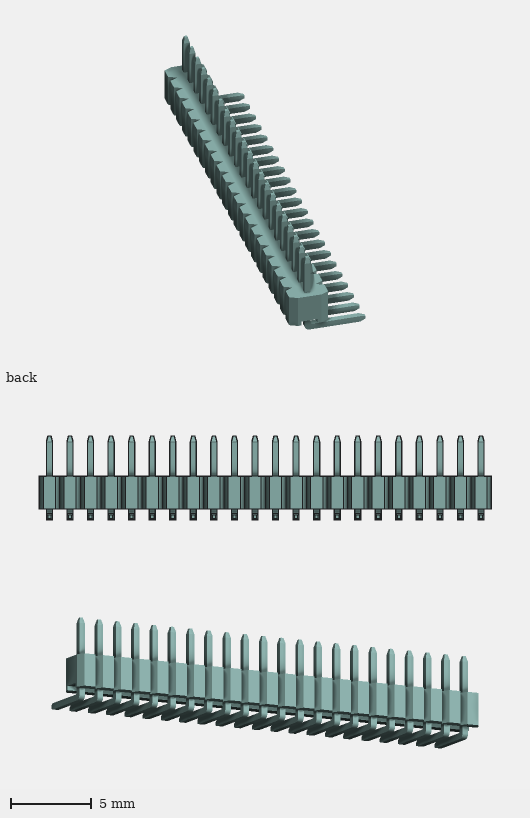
import cadquery as cq


length = 27.95
pin_count = 22
pitch = length / pin_count

total_depth = 5.0
total_height = 5.2

body_depth = 2.51
body_height = 2.05
body_bottom = 0.67
bevel_width = 0.25
bevel_depth = 0.5

channel_width = 1.03
channel_height = 0.28

pin_size = 0.4
tip_size = 0.2
tip_length = 0.35
bend_outer_radius = 0.3
bend_inner_radius = 0.1

body_front = -body_depth / 2
tail_end = body_front + total_depth


def pin_x(index):
    """X position of a pin, with the row centred on the origin."""
    return (index - (pin_count - 1) / 2) * pitch


def make_body_cell(x):
    """One pitch of the strip: a block with its four upright edges bevelled."""
    half_width = pitch / 2
    half_depth = body_depth / 2
    flat_x = half_width - bevel_width
    flat_y = half_depth - bevel_depth
    outline = [
        (-half_width, -flat_y),
        (-flat_x, -half_depth),
        (flat_x, -half_depth),
        (half_width, -flat_y),
        (half_width, flat_y),
        (flat_x, half_depth),
        (-flat_x, half_depth),
        (-half_width, flat_y),
    ]
    cell = cq.Workplane("XY").polyline(outline).close().extrude(body_height)
    return cell.translate((x, 0, body_bottom))


def make_body():
    """The full strip with the channel cut through its underside."""
    body = make_body_cell(pin_x(0))
    for index in range(1, pin_count):
        body = body.union(make_body_cell(pin_x(index)))
    channel = cq.Workplane("XY").box(
        length, channel_width, channel_height, centered=(True, True, False)
    )
    return body.cut(channel.translate((0, 0, body_bottom)))


def make_tip(base_plane):
    """A tapered square tip standing on the given plane."""
    return (
        cq.Workplane(base_plane)
        .rect(pin_size, pin_size)
        .workplane(offset=tip_length)
        .rect(tip_size, tip_size)
        .loft(ruled=True)
    )


def make_pin():
    """An L-shaped pin at X = 0: upright leg, bend, and tail towards +Y."""
    half = pin_size / 2
    leg_top = total_height - tip_length
    tail_shoulder = tail_end - tip_length
    bent_bar = (
        cq.Workplane("YZ")
        .moveTo(-half, leg_top)
        .lineTo(-half, 0)
        .lineTo(tail_shoulder, 0)
        .lineTo(tail_shoulder, pin_size)
        .lineTo(half, pin_size)
        .lineTo(half, leg_top)
        .close()
        .extrude(half, both=True)
    )
    outer_corner = cq.selectors.NearestToPointSelector((0, -half, 0))
    inner_corner = cq.selectors.NearestToPointSelector((0, half, pin_size))
    bent_bar = bent_bar.edges("|X").edges(outer_corner).fillet(bend_outer_radius)
    bent_bar = bent_bar.edges("|X").edges(inner_corner).fillet(bend_inner_radius)

    top_plane = cq.Plane(origin=(0, 0, leg_top), xDir=(1, 0, 0), normal=(0, 0, 1))
    tail_plane = cq.Plane(origin=(0, tail_shoulder, half), xDir=(1, 0, 0), normal=(0, 1, 0))
    return bent_bar.union(make_tip(top_plane)).union(make_tip(tail_plane))


result = make_body()
pin = make_pin()
for pin_index in range(pin_count):
    result = result.union(pin.translate((pin_x(pin_index), 0, 0)))